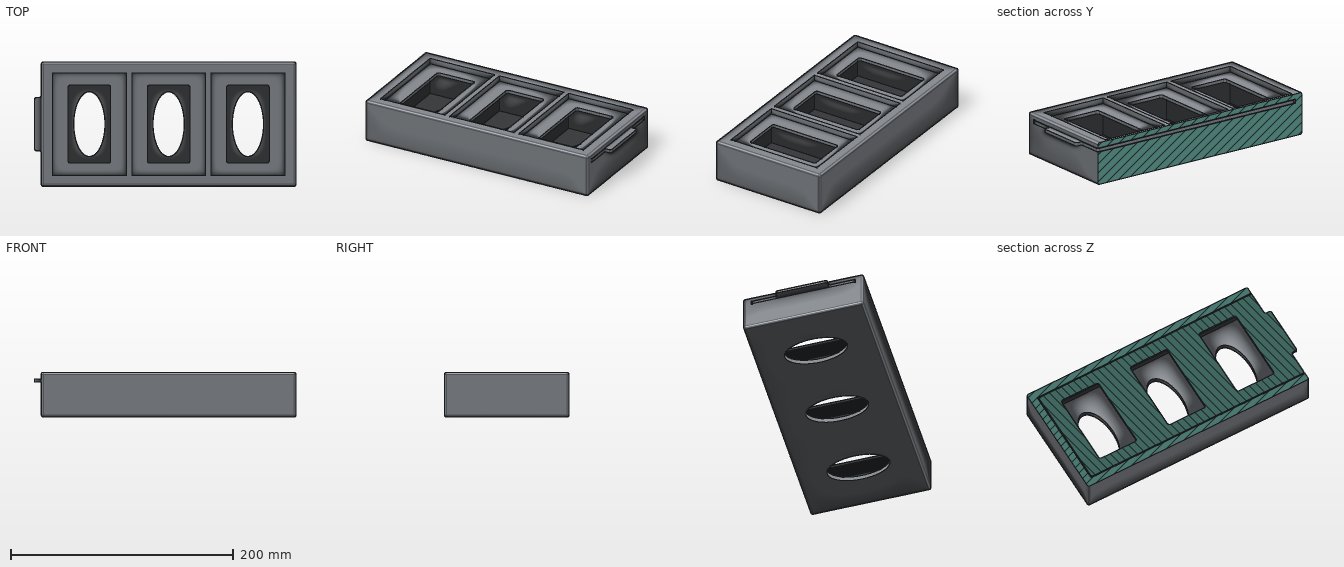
import cadquery as cq

total_length = 235.5
box_width = 112.0
box_height = 40.3
handle_reach = 6.1
box_length = total_length - handle_reach
edge_radius = 2.0
box_start = -box_length / 2

compartment_count = 3
compartment_length = 66.5
compartment_width = 92.0
rib_width = 5.0
floor_thickness = 5.0
pitch = compartment_length + rib_width
row_half_span = pitch * (compartment_count - 1) / 2
compartment_centres = [i * pitch - row_half_span for i in range(compartment_count)]

hole_length = 28.0
hole_width = 58.2

slot_depth = 5.5
slot_width = 97.0
slot_height = 3.5
slot_floor = box_height - slot_depth - slot_height
slot_end_wall = (box_width - slot_width) / 2
slot_end = box_start + box_length - slot_end_wall

side_clearance = 0.5
end_clearance = 0.5
plate_width = slot_width - 2 * side_clearance
plate_thickness = 3.0
tray_corner_radius = 2.0
plate_start = box_start
plate_end = slot_end - end_clearance

tray_window_length = 38.5
tray_window_width = 70.2

handle_width = 48.0


def block(x_start, x_end, width, z_start, height):
    """Rectangular block between two X positions, centred on Y."""
    size = (x_end - x_start, width, height)
    return cq.Workplane("XY").box(*size, centered=(False, True, False)).translate((x_start, 0, z_start))


def centred_block(x_centre, length, width, z_start, height):
    """Rectangular block centred on an X position and on Y."""
    return block(x_centre - length / 2, x_centre + length / 2, width, z_start, height)


def make_box():
    """Rounded box with its compartments, floor holes and tray slot."""
    box = block(box_start, box_start + box_length, box_width, 0, box_height).edges().fillet(edge_radius)
    for x in compartment_centres:
        box = box.cut(centred_block(x, compartment_length, compartment_width, floor_thickness, box_height))
        hole = cq.Workplane("XY").center(x, 0).ellipse(hole_length / 2, hole_width / 2)
        box = box.cut(hole.extrude(floor_thickness))
    return box.cut(block(box_start, slot_end, slot_width, slot_floor, slot_height))


def make_tray():
    """Plate with a window per compartment and a handle at its -X end."""
    plate = block(plate_start, plate_end, plate_width, slot_floor, plate_thickness)
    plate = plate.edges("|Z").fillet(tray_corner_radius)

    handle = block(box_start - handle_reach, plate_start, handle_width, slot_floor, plate_thickness)
    handle = handle.edges("|Z and <X").fillet(tray_corner_radius)
    tray = plate.union(handle)

    for side in (-1, 1):
        root_point = (plate_start, side * handle_width / 2, slot_floor + plate_thickness / 2)
        tray = tray.edges(cq.NearestToPointSelector(root_point)).fillet(tray_corner_radius)

    for x in compartment_centres:
        window = centred_block(x, tray_window_length, tray_window_width, slot_floor, plate_thickness)
        tray = tray.cut(window.edges("|Z").fillet(tray_corner_radius))
    return tray


box = make_box()
tray = make_tray()

result = cq.Compound.makeCompound([box.val(), tray.val()])